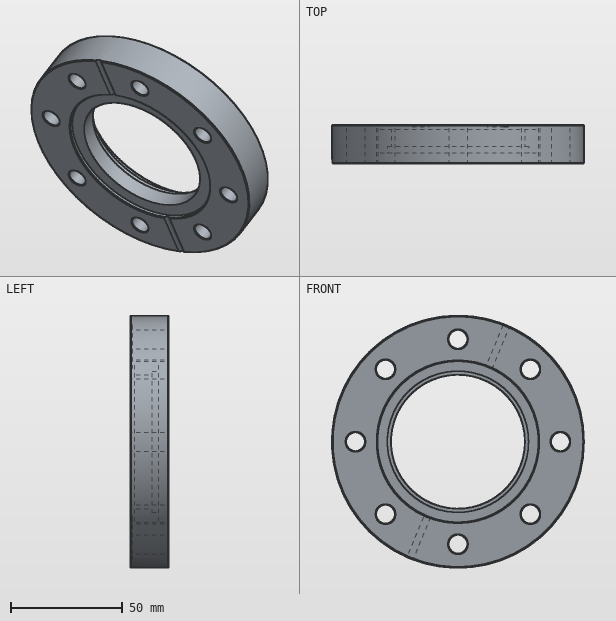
import cadquery as cq
import math

ring_diameter = 113.5
ring_thickness = 17.5
ring_bore_diameter = 72.4
edge_chamfer = 0.5

bolt_count = 8
bolt_circle_diameter = 92.2
bolt_hole_diameter = 8.4
bolt_hole_chamfer = 0.3

groove_width = 3.0
groove_depth = 0.9
groove_angles = [90 - 180 / bolt_count, 270 - 180 / bolt_count]

insert_front = 4.9
insert_length = 10.7
insert_bore_diameter = 60.2
socket_diameter = 63.6
socket_depth = 3.0


def disc(diameter, front, length):
    """Cylinder around the Y axis, starting at Y = front and running toward +Y."""
    return cq.Workplane("XZ", origin=(0, front, 0)).circle(diameter / 2).extrude(-length)


def bolt_hole_cutter():
    """Bolt hole on the Y axis, with a chamfered mouth at each face."""
    mouth_radius = bolt_hole_diameter / 2 + bolt_hole_chamfer
    cutter = disc(bolt_hole_diameter, 0, ring_thickness)
    for face_y, direction in ((0, 1), (ring_thickness, -1)):
        mouth = cq.Solid.makeCone(
            mouth_radius,
            bolt_hole_diameter / 2,
            bolt_hole_chamfer,
            pnt=cq.Vector(0, face_y, 0),
            dir=cq.Vector(0, direction, 0),
        )
        cutter = cutter.union(cq.Workplane(mouth))
    return cutter


def groove_cutter(angle):
    """Round-bottomed radial groove, sunk into the back face from the ring bore outward."""
    half_width = groove_width / 2
    arc_radius = (half_width**2 + groove_depth**2) / (2 * groove_depth)
    axis_y = ring_thickness - groove_depth + arc_radius
    direction = cq.Vector(math.cos(math.radians(angle)), 0, math.sin(math.radians(angle)))
    return cq.Solid.makeCylinder(
        arc_radius, ring_diameter / 2, pnt=cq.Vector(0, axis_y, 0), dir=direction
    )


def make_ring():
    """Flange ring with chamfered rims, bolt holes and leak-check grooves."""
    ring = disc(ring_diameter, 0, ring_thickness).cut(disc(ring_bore_diameter, 0, ring_thickness))
    ring = ring.faces("<Y or >Y").edges().chamfer(edge_chamfer)
    hole = bolt_hole_cutter()
    for index in range(bolt_count):
        angle = math.radians(index * 360 / bolt_count)
        bolt_x = bolt_circle_diameter / 2 * math.cos(angle)
        bolt_z = bolt_circle_diameter / 2 * math.sin(angle)
        ring = ring.cut(hole.translate((bolt_x, 0, bolt_z)))
    for angle in groove_angles:
        ring = ring.cut(cq.Workplane(groove_cutter(angle)))
    return ring


def make_insert():
    """Annular insert with a shallow tube socket in its front face."""
    insert = disc(ring_bore_diameter, insert_front, insert_length)
    insert = insert.cut(disc(insert_bore_diameter, insert_front, insert_length))
    return insert.cut(disc(socket_diameter, insert_front, socket_depth))


flange_ring = make_ring()
tube_insert = make_insert()

result = cq.Compound.makeCompound([flange_ring.val(), tube_insert.val()])